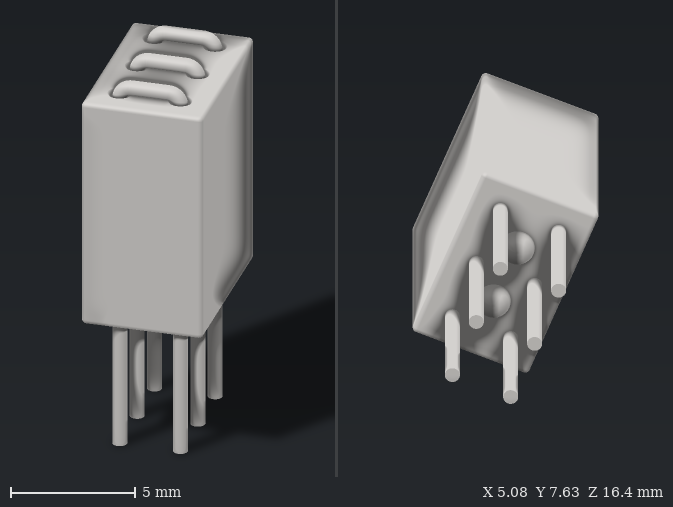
import cadquery as cq

HOUSING_X = 5.08
HOUSING_Y = 7.63
HOUSING_Z = 10.0
EDGE_RADIUS = 0.2

TOTAL_HEIGHT = 16.4
PITCH = 2.55
WIRE_DIAMETER = 0.6
BRIDGE_STRAIGHT = 1.54
BEND_RADIUS = (PITCH - BRIDGE_STRAIGHT) / 2
WIRE_RADIUS = WIRE_DIAMETER / 2
BRIDGE_POSITIONS = (-PITCH, 0, PITCH)
LEG_POSITIONS = (-PITCH / 2, PITCH / 2)

BRIDGE_AXIS_Z = HOUSING_Z + WIRE_RADIUS
BEND_START_Z = BRIDGE_AXIS_Z - BEND_RADIUS
LEG_END_Z = BRIDGE_AXIS_Z + WIRE_RADIUS - TOTAL_HEIGHT

MOUTH_DIAMETER = 1.0
MOUTH_DEPTH = HOUSING_Z - BEND_START_Z

BUMP_RADIUS = 0.7
BUMP_HEIGHT = 0.64
BUMP_STRAIGHT_WALL = 0.008
BUMP_ROUNDING = BUMP_HEIGHT - BUMP_STRAIGHT_WALL
BUMP_POSITIONS = (-PITCH / 2, PITCH / 2)


def make_block():
    """Rectangular block with all edges rounded."""
    block = cq.Workplane("XY").box(HOUSING_X, HOUSING_Y, HOUSING_Z, centered=(True, True, False))
    return block.edges().fillet(EDGE_RADIUS)


def make_bump(y):
    """Short round pad under the block, its lower rim rounded almost to a dome."""
    pad = cq.Workplane("XY").center(0, y).circle(BUMP_RADIUS).extrude(-BUMP_HEIGHT)
    return pad.faces("<Z").edges().fillet(BUMP_ROUNDING)


def make_wire_hole(x, y):
    """Through hole for one wire leg, with its conical mouth at the top."""
    bore = cq.Workplane("XY").center(x, y).circle(WIRE_RADIUS).extrude(HOUSING_Z)
    mouth = (
        cq.Workplane("XY", origin=(x, y, BEND_START_Z))
        .circle(WIRE_RADIUS)
        .workplane(offset=MOUTH_DEPTH)
        .circle(MOUTH_DIAMETER / 2)
        .loft(ruled=True)
    )
    return bore.union(mouth)


def make_housing():
    """Block with standoff bumps below and a hole for every wire leg."""
    housing = make_block()
    for y in BUMP_POSITIONS:
        housing = housing.union(make_bump(y))
    for y in BRIDGE_POSITIONS:
        for x in LEG_POSITIONS:
            housing = housing.cut(make_wire_hole(x, y))
    return housing


def make_wire_bridge(y):
    """One round wire bent into an upside-down U in the plane at this Y."""
    left, right = LEG_POSITIONS
    path = (
        cq.Workplane("XZ", origin=(0, y, 0))
        .moveTo(left, LEG_END_Z)
        .lineTo(left, BEND_START_Z)
        .tangentArcPoint((left + BEND_RADIUS, BRIDGE_AXIS_Z), relative=False)
        .lineTo(right - BEND_RADIUS, BRIDGE_AXIS_Z)
        .tangentArcPoint((right, BEND_START_Z), relative=False)
        .lineTo(right, LEG_END_Z)
    )
    return cq.Workplane("XY", origin=(left, y, LEG_END_Z)).circle(WIRE_RADIUS).sweep(path)


housing = make_housing()
wire_bridges = [make_wire_bridge(y) for y in BRIDGE_POSITIONS]

result = cq.Compound.makeCompound([housing.solids().val(), *[bridge.val() for bridge in wire_bridges]])